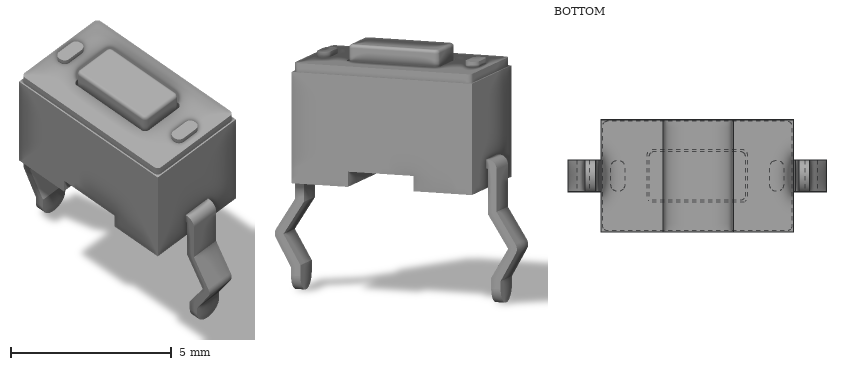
import cadquery as cq
import math

BODY_LENGTH = 6.0
BODY_WIDTH = 3.5
BODY_HEIGHT = 3.52
NOTCH_LENGTH = 2.19
NOTCH_HEIGHT = 0.48
NOTCH_CENTER_X = 0.03

COVER_INSET = 0.05
COVER_THICKNESS = 0.28
CORNER_RADIUS = 0.15
COVER_TOP = BODY_HEIGHT + COVER_THICKNESS

BUTTON_LENGTH = 2.995
BUTTON_WIDTH = 1.51
BUTTON_RISE = 0.515
BUTTON_EDGE_RADIUS = 0.105
BUTTON_GAP = 0.06

STUD_LENGTH = 0.95
STUD_WIDTH = 0.44
STUD_HEIGHT = 0.17
STUD_CORNER_RADIUS = 0.2
STUD_CENTER_X = 2.47

LEAD_SPAN = 8.05
LEAD_WIDTH = 1.0
LEAD_THICKNESS = 0.29
LEAD_TOP_Z = 0.92
LEAD_BOTTOM_Z = -3.655
LEAD_EMBED = 0.16
SHANK_INNER_X = 3.06
SHANK_INNER_END_Z = -0.805
SHANK_OUTER_END_Z = -0.72
KNEE_X = LEAD_SPAN / 2 - LEAD_THICKNESS
KNEE_Z = -1.86
TIP_INNER_X = 3.17
TIP_THICKNESS = 0.31
TIP_INNER_START_Z = -2.81
TIP_OUTER_START_Z = -2.9


def rounded_block(length, width, height, base_z):
    """Block centred on the Z axis with rounded vertical corners."""
    block = cq.Workplane("XY").workplane(offset=base_z).rect(length, width).extrude(height)
    return block.edges("|Z").fillet(CORNER_RADIUS)


def make_body():
    body = cq.Workplane("XY").rect(BODY_LENGTH, BODY_WIDTH).extrude(BODY_HEIGHT)
    notch = (
        cq.Workplane("XY")
        .center(NOTCH_CENTER_X, 0)
        .rect(NOTCH_LENGTH, BODY_WIDTH)
        .extrude(NOTCH_HEIGHT)
    )
    return body.cut(notch)


def make_cover():
    cover = rounded_block(
        BODY_LENGTH - 2 * COVER_INSET, BODY_WIDTH - 2 * COVER_INSET, COVER_THICKNESS, BODY_HEIGHT
    )
    opening = rounded_block(
        BUTTON_LENGTH + 2 * BUTTON_GAP, BUTTON_WIDTH + 2 * BUTTON_GAP, COVER_THICKNESS, BODY_HEIGHT
    )
    return cover.cut(opening)


def make_button():
    height = COVER_THICKNESS + BUTTON_RISE
    button = rounded_block(BUTTON_LENGTH, BUTTON_WIDTH, height, BODY_HEIGHT)
    return button.faces(">Z").edges().fillet(BUTTON_EDGE_RADIUS)


def make_studs():
    return (
        cq.Workplane("XY")
        .workplane(offset=COVER_TOP)
        .pushPoints([(-STUD_CENTER_X, 0), (STUD_CENTER_X, 0)])
        .rect(STUD_WIDTH, STUD_LENGTH)
        .extrude(STUD_HEIGHT)
        .edges("|Z")
        .fillet(STUD_CORNER_RADIUS)
    )


def knee_tangent_point(inner_x, inner_z):
    """End of the knee's outer arc beside the straight leg that runs to the given inner bend."""
    run = KNEE_X - inner_x
    rise = inner_z - KNEE_Z
    leg_length = math.hypot(run, rise)
    return (
        KNEE_X + LEAD_THICKNESS * abs(rise) / leg_length,
        KNEE_Z + LEAD_THICKNESS * math.copysign(run, rise) / leg_length,
    )


def make_right_lead():
    shank_outer_x = SHANK_INNER_X + LEAD_THICKNESS
    tip_outer_x = TIP_INNER_X + TIP_THICKNESS
    shoulder_z = LEAD_TOP_Z - LEAD_THICKNESS
    root_x = BODY_LENGTH / 2 - LEAD_EMBED
    diagonal = LEAD_THICKNESS * math.sqrt(0.5)

    lead = (
        cq.Workplane("XZ")
        .moveTo(root_x, LEAD_TOP_Z)
        .lineTo(SHANK_INNER_X, LEAD_TOP_Z)
        .threePointArc((SHANK_INNER_X + diagonal, shoulder_z + diagonal), (shank_outer_x, shoulder_z))
        .lineTo(shank_outer_x, SHANK_OUTER_END_Z)
        .lineTo(*knee_tangent_point(SHANK_INNER_X, SHANK_INNER_END_Z))
        .threePointArc(
            (LEAD_SPAN / 2, KNEE_Z), knee_tangent_point(TIP_INNER_X, TIP_INNER_START_Z)
        )
        .lineTo(tip_outer_x, TIP_OUTER_START_Z)
        .lineTo(tip_outer_x, LEAD_BOTTOM_Z)
        .lineTo(TIP_INNER_X, LEAD_BOTTOM_Z)
        .lineTo(TIP_INNER_X, TIP_INNER_START_Z)
        .lineTo(KNEE_X, KNEE_Z)
        .lineTo(SHANK_INNER_X, SHANK_INNER_END_Z)
        .lineTo(SHANK_INNER_X, shoulder_z)
        .lineTo(root_x, shoulder_z)
        .close()
        .extrude(LEAD_WIDTH / 2, both=True)
    )

    half_width = LEAD_WIDTH / 2
    round_start_z = LEAD_BOTTOM_Z + half_width
    outline = (
        cq.Workplane("YZ")
        .moveTo(-half_width, LEAD_TOP_Z)
        .lineTo(-half_width, round_start_z)
        .threePointArc((0, LEAD_BOTTOM_Z), (half_width, round_start_z))
        .lineTo(half_width, LEAD_TOP_Z)
        .close()
        .extrude(LEAD_SPAN)
    )
    return lead.intersect(outline)


right_lead = make_right_lead()
left_lead = right_lead.mirror("YZ")

result = make_body()
for piece in (make_cover(), make_button(), make_studs(), right_lead, left_lead):
    result = result.union(piece)